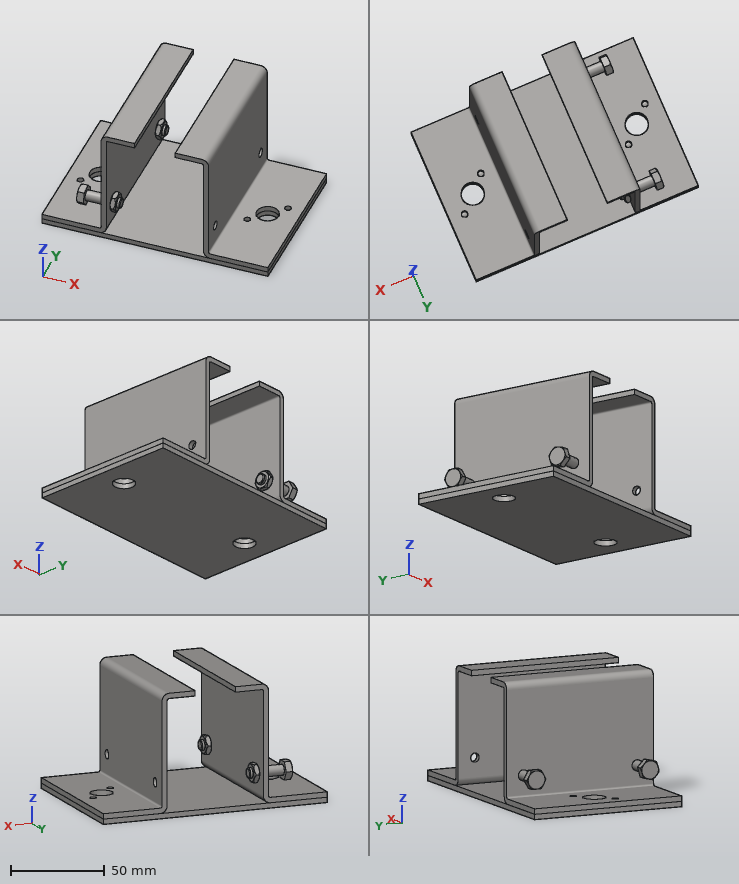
import cadquery as cq
import math

LENGTH = 130.0
WIDTH = 88.0
HEIGHT = 69.0
SHEET = 3.0

FLANGE_LENGTH = 34.0
LIP_END = 53.3
BEND_INNER_RADIUS = 1.0
BEND_OUTER_RADIUS = BEND_INNER_RADIUS + SHEET

MOUNT_HOLE_DIAMETER = 12.5
MOUNT_HOLE_INSET = 17.0
MOUNT_HOLE_X = LENGTH / 2 - MOUNT_HOLE_INSET
PILOT_DIAMETER = 3.5
PILOT_OFFSET = 8.5
STUD_DIAMETER = 3.4
STUD_HEIGHT = 0.5

BOLT_EDGE_DISTANCE = 10.0
BOLT_Y = WIDTH / 2 - BOLT_EDGE_DISTANCE
BOLT_Z = 18.0
WALL_OUTER_X = LENGTH / 2 - FLANGE_LENGTH
WALL_INNER_X = WALL_OUTER_X - SHEET
PLAIN_HOLE_DIAMETER = 5.0

BOLT_DIAMETER = 6.0
BOLT_LENGTH = 20.0
BOLT_PROTRUSION = 5.1
BOLT_TIP_X = BOLT_PROTRUSION - WALL_INNER_X
BOLT_TIP_CHAMFER = 0.5
HEAD_HEIGHT = 4.0
NUT_HEIGHT = 3.2
HEX_ACROSS_FLATS = 10.0
HEX_ACROSS_CORNERS = HEX_ACROSS_FLATS / math.cos(math.radians(30))
HEAD_FACE_DIAMETER = HEX_ACROSS_FLATS
HEAD_BEVEL_ANGLE = 30
NUT_FACE_DIAMETER = 9.5
NUT_BEVEL_ANGLE = 40
FASTENERS = [(-BOLT_Y, 13.5, 5.5), (BOLT_Y, 0.0, 0.0)]


def cylinder_along_x(diameter, x_start, length, y):
    """Cylinder at bolt height whose axis runs along +X."""
    return (
        cq.Workplane("YZ", origin=(x_start, y, BOLT_Z))
        .circle(diameter / 2)
        .extrude(length)
    )


def pilot_points(mount_x):
    """The two pilot positions on the diagonal through a mounting hole."""
    return [(mount_x + offset, offset) for offset in (-PILOT_OFFSET, PILOT_OFFSET)]


def locating_stud(x, y):
    """Low domed stud that rises from the base plate into a pilot hole."""
    radius = STUD_DIAMETER / 2
    dome_radius = (radius**2 + STUD_HEIGHT**2) / (2 * STUD_HEIGHT)
    dome_center_z = SHEET + STUD_HEIGHT - dome_radius
    dome = cq.Workplane("XY", origin=(x, y, dome_center_z)).sphere(dome_radius)
    column = cq.Workplane("XY", origin=(x, y, 0)).circle(radius).extrude(SHEET + STUD_HEIGHT)
    return column.intersect(dome)


def make_base_plate():
    plate = (
        cq.Workplane("XY")
        .box(LENGTH, WIDTH, SHEET, centered=(True, True, False))
        .faces(">Z")
        .workplane()
        .pushPoints([(-MOUNT_HOLE_X, 0), (MOUNT_HOLE_X, 0)])
        .hole(MOUNT_HOLE_DIAMETER)
    )
    for mount_x in (-MOUNT_HOLE_X, MOUNT_HOLE_X):
        for x, y in pilot_points(mount_x):
            plate = plate.union(locating_stud(x, y))
    return plate


def bracket_sheet(side):
    """Bent Z-shaped sheet; side is -1 for the left bracket and +1 for the right one."""
    foot_end = side * LENGTH / 2
    wall_outer = side * WALL_OUTER_X
    wall_inner = side * WALL_INNER_X
    lip_end = side * (LENGTH / 2 - LIP_END)
    sheet = (
        cq.Workplane("XZ", origin=(0, WIDTH / 2, 0))
        .moveTo(foot_end, SHEET)
        .lineTo(wall_inner, SHEET)
        .lineTo(wall_inner, HEIGHT - SHEET)
        .lineTo(lip_end, HEIGHT - SHEET)
        .lineTo(lip_end, HEIGHT)
        .lineTo(wall_outer, HEIGHT)
        .lineTo(wall_outer, 2 * SHEET)
        .lineTo(foot_end, 2 * SHEET)
        .close()
        .extrude(WIDTH)
    )
    bends = [
        (wall_inner, SHEET, BEND_OUTER_RADIUS),
        (wall_outer, 2 * SHEET, BEND_INNER_RADIUS),
        (wall_outer, HEIGHT, BEND_OUTER_RADIUS),
        (wall_inner, HEIGHT - SHEET, BEND_INNER_RADIUS),
    ]
    for x, z, radius in bends:
        corner = cq.selectors.NearestToPointSelector((x, 0, z))
        sheet = sheet.edges("|Y").edges(corner).fillet(radius)
    return sheet


def make_bracket(side, wall_hole_diameter):
    bracket = bracket_sheet(side)
    mount_x = side * MOUNT_HOLE_X
    foot_holes = (
        cq.Workplane("XY", origin=(0, 0, SHEET))
        .moveTo(mount_x, 0)
        .circle(MOUNT_HOLE_DIAMETER / 2)
        .pushPoints(pilot_points(mount_x))
        .circle(PILOT_DIAMETER / 2)
        .extrude(SHEET)
    )
    bracket = bracket.cut(foot_holes)
    wall_start = min(side * WALL_OUTER_X, side * WALL_INNER_X)
    for y in (-BOLT_Y, BOLT_Y):
        bracket = bracket.cut(cylinder_along_x(wall_hole_diameter, wall_start, SHEET, y))
    return bracket


def hex_prism(x_start, height, y, turn):
    """Hexagonal prism along +X, with corners on the Y axis before it is turned."""
    return (
        cq.Workplane("YZ", origin=(x_start, y, BOLT_Z))
        .transformed(rotate=(0, 0, turn))
        .polygon(6, HEX_ACROSS_CORNERS)
        .extrude(height)
    )


def corner_cone(face_x, direction, y, face_diameter, bevel_angle):
    """Cone that opens from a small circle on an end face and bevels the hexagon corners there.

    Direction is +1 when the hexagon lies on the +X side of that face, otherwise -1.
    """
    face_radius = face_diameter / 2
    depth = HEX_ACROSS_CORNERS
    far_radius = face_radius + depth / math.tan(math.radians(bevel_angle))
    return cq.Workplane(
        cq.Solid.makeCone(
            face_radius,
            far_radius,
            depth,
            pnt=cq.Vector(face_x, y, BOLT_Z),
            dir=cq.Vector(direction, 0, 0),
        )
    )


def make_bolt(y, head_turn):
    seat_x = BOLT_TIP_X - BOLT_LENGTH
    head_x = seat_x - HEAD_HEIGHT
    head = hex_prism(head_x, HEAD_HEIGHT, y, head_turn)
    head = head.intersect(corner_cone(head_x, 1, y, HEAD_FACE_DIAMETER, HEAD_BEVEL_ANGLE))
    shank = cylinder_along_x(BOLT_DIAMETER, seat_x, BOLT_LENGTH, y)
    shank = shank.faces(">X").chamfer(BOLT_TIP_CHAMFER)
    return head.union(shank)


def make_nut(y, turn):
    nut_x = -WALL_INNER_X
    nut = hex_prism(nut_x, NUT_HEIGHT, y, turn)
    for face_x, direction in [(nut_x, 1), (nut_x + NUT_HEIGHT, -1)]:
        nut = nut.intersect(corner_cone(face_x, direction, y, NUT_FACE_DIAMETER, NUT_BEVEL_ANGLE))
    return nut.cut(cylinder_along_x(BOLT_DIAMETER, nut_x, NUT_HEIGHT, y))


base_plate = make_base_plate()
left_bracket = make_bracket(-1, BOLT_DIAMETER)
right_bracket = make_bracket(1, PLAIN_HOLE_DIAMETER)
bolts = [make_bolt(y, head_turn) for y, head_turn, nut_turn in FASTENERS]
nuts = [make_nut(y, nut_turn) for y, head_turn, nut_turn in FASTENERS]

result = cq.Compound.makeCompound(
    [
        base_plate.val(),
        left_bracket.val(),
        right_bracket.val(),
        *[bolt.val() for bolt in bolts],
        *[nut.val() for nut in nuts],
    ]
)